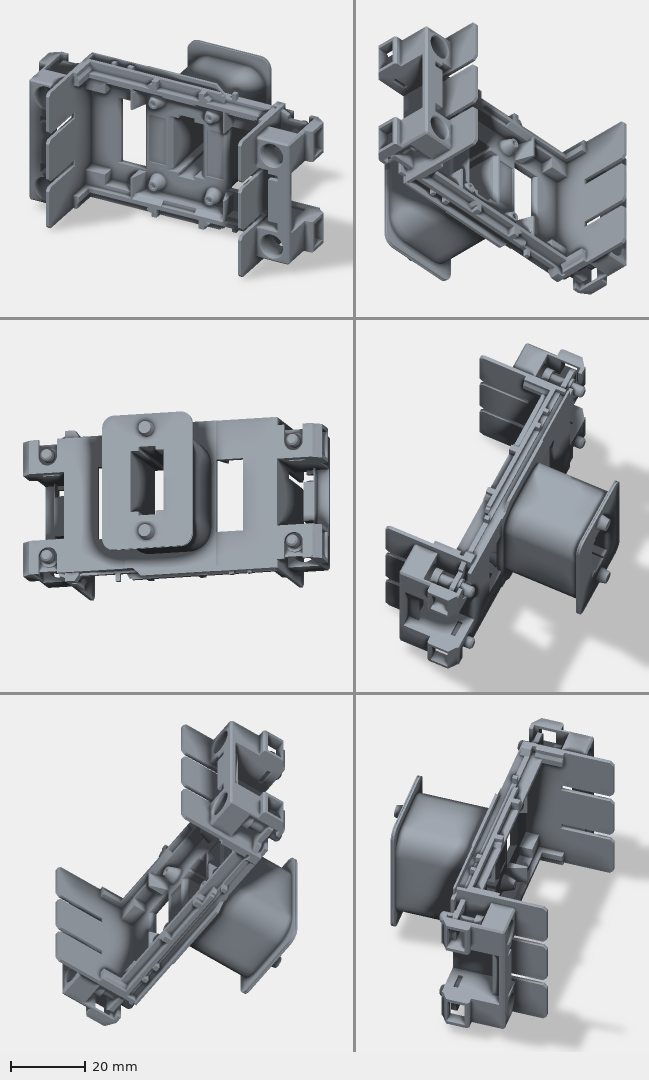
import cadquery as cq


PLATE_X = 29.9
PLATE_THICK = 1.0
FRAME_Z = 20.8
FRAME_LOW_Z = 19.2
BODY_Z = 18.6
SHELF_X = 11.85
SHELF_STEP_X = 12.8
SHELF_STEP_Z = 20.3
SHELF_RAMP = (0.25, 0.5)
RISE_X = (26.1, 27.3)
FRAME_FRONT = -7.0
BAND_FRONT = -4.9
LEDGE_FRONT = -5.55
FLOOR = -1.85
INNER_X = PLATE_X - PLATE_THICK
INNER_Z = 17.0
RAIL_Z = 18.2
LEDGE_Z = 15.7
CORNER_BLOCK = (22.9, 12.4)
SHEET_FRONT = -0.6
BODY_BACK = -1.0
SHEET_CORNER_X = 8.2
SHEET_END_X = 10.6
RIB = (6.5, 8.1)
PAWL_X = (8.65, 9.6)
PAWL_Z = (18.8, 19.65)
GUSSET_THICK = 1.8
GUSSET_FRONT = -12.7
GUSSET_STEP = 0.7
GUSSET_SLOPE_Z = (18.7, 19.65)

POCKET_FRONT_X = 13.9
POCKET_BACK_X = 12.1
SIDE_RIB_THICK = 0.5
SIDE_RIB_Z = 10.4
SILL_X = 5.0
WINDOW_X = (12.85, 20.4)
WINDOW_Z = 10.0
WINDOW_BEVEL = 0.75
CORE_X = 4.6
CORE_Z = 8.4
CORE_BEVEL = 1.1
CORE_NOTCH = (2.4, 9.5)
PAD_X = (6.2, 11.3)
PAD_Z = 7.2
PAD_DEPTH = 0.3
BOSS_X = 8.6
BOSS_Z = 12.6
BOSS_R = (2.5, 1.35)
BOSS_HEIGHT = 3.4
BOSS_HEX = 1.7
BOSS_HEX_DEPTH = 0.8

COLLAR_X = 12.8
COLLAR_Y = 0.25
TUBE_X = 11.5
TUBE_Z = 15.0
TUBE_R = 6.05
FLANGE_X = 12.6
FLANGE_Z = 18.6
FLANGE_R = 3.2
FLANGE_Y = (22.3, 23.3)
FLANGE_GROOVE_Y = (22.6, 22.9)
FLANGE_GROOVE_DEPTH = 0.3
SPIGOT_Z = 14.3
SPIGOT_R = (2.2, 1.7)
SPIGOT_TOP = 25.8

TAB_FRONT = -26.6
TAB_SLOT_Y = -11.85
TAB_SLOT_Z = (6.4, 8.2)
TAB_CHAMFER = 1.0

HOUSING_X = 39.8
HOUSING_Z = 18.6
HOUSING_FRONT = -17.8
HOUSING_CHAMFER = 0.5
OPENING_Z = 9.2
WALL = 1.0
POCKET_WALL_X = HOUSING_X - WALL
POCKET_FRONT_Y = -10.9
BAR_BACK = -16.3
BAR_X = 33.5
BAR_NOTCH_X = 36.3
UPPER_NOTCH = (6.4, 8.15)
WEB_BACK = -13.35
WEB_CENTRE_Z = 5.4
WEB_THICK = 0.3
HOOK_X = 42.0
HOOK_FRONT = -8.4
HOOK_SLOPE = (2.8, 2.0)
HOOK_NOSE = 0.5
HOOK_WINDOW_Y = (-7.2, -2.2)

STRIP_Y = (-3.7, -2.35)
STRIP_X = 38.6
STRIP_CHAMFER = 1.3
OVERALL_Z = 42.6
LUG_TOP = OVERALL_Z / 2
WEDGE_END_X = 32.1
WEDGE_Z = (19.8, 18.8)
LUGS = [(-22.0, -20.9), (-17.1, -15.7), (14.95, 16.1)]
SCREW_X = 34.5
SCREW_Z = 13.95
SHANK_R = 1.6
SHANK_END = 2.0
SHANK_CHAMFER = 0.5
HEAD_R = 2.6
HEAD_Y = (-9.9, -7.9)
WASHER_R = 2.5
WASHER_TOP = -1.7
BORE_R = 3.4
BORE_CHAMFER = 0.29
DRIVE_LENGTH = 3.4
DRIVE_WIDTH = 0.9
DRIVE_DEPTH = 1.0
STRIP_SLOT_LENGTH = 4.7

SIGNS = (-1, 1)


def box(x, y, z):
    """Box spanning the given pairs of limits, in either order."""
    limits = [sorted(pair) for pair in (x, y, z)]
    sizes = [high - low for low, high in limits]
    corner = [low for low, high in limits]
    return cq.Workplane("XY").box(*sizes, centered=False).translate(corner)


def sketch_at(y):
    """XZ workplane at height y whose extrusions run toward -Y."""
    return cq.Workplane("XZ", origin=(0, y, 0))


def disc(x, z, radius, y_front, y_back):
    return sketch_at(y_back).center(x, z).circle(radius).extrude(y_back - y_front)


def cone(x, z, r_back, r_front, y_back, y_front):
    back = sketch_at(y_back).center(x, z).circle(r_back)
    return back.workplane(offset=y_back - y_front).circle(r_front).loft()


def frustum(x, z, y_back, back, y_front, front):
    """Rectangular frustum; back and front hold half sizes in X and Z."""
    base = sketch_at(y_back).center(x, z).rect(2 * back[0], 2 * back[1])
    top = base.workplane(offset=y_back - y_front).rect(2 * front[0], 2 * front[1])
    return top.loft()


def both_x(shape):
    return shape.union(shape.mirror("YZ"))


def both_z(shape):
    return shape.union(shape.mirror("XY"))


def four_way(shape):
    return both_z(both_x(shape))


def sheet_outline():
    """Outline of the back sheet, sloping down to the core right of the middle."""
    edge = [
        (-PLATE_X, FRAME_Z), (SHEET_CORNER_X, FRAME_Z), (SHEET_END_X, BODY_Z), (PLATE_X, BODY_Z),
    ]
    lower = [(x, -z) for x, z in reversed(edge)]
    return edge + lower


def rise_outline():
    """Ramp from the strip's edge up to the full frame height."""
    return [
        (RISE_X[0], FRAME_LOW_Z), (RISE_X[1], FRAME_Z), (PLATE_X, FRAME_Z),
        (PLATE_X, INNER_Z), (RISE_X[0], INNER_Z),
    ]


def frame_plate():
    """Back sheet, core, shelf and rails of the frame with its sunk interior."""
    sheet = sketch_at(0).polyline(sheet_outline()).close().extrude(-SHEET_FRONT)
    body = box((-PLATE_X, PLATE_X), (STRIP_Y[0], SHEET_FRONT), (-BODY_Z, BODY_Z))
    rails = box((-PLATE_X, PLATE_X), (FRAME_FRONT, STRIP_Y[0]), (-RAIL_Z, RAIL_Z))

    shelf_end = SHELF_STEP_X + SHELF_RAMP[1]
    shelf_edge = [
        (-PLATE_X, FRAME_Z), (SHELF_X, FRAME_Z), (SHELF_X + SHELF_RAMP[0], SHELF_STEP_Z),
        (SHELF_STEP_X, SHELF_STEP_Z), (shelf_end, FRAME_LOW_Z), (shelf_end, RAIL_Z), (-PLATE_X, RAIL_Z),
    ]
    shelf = sketch_at(STRIP_Y[0]).polyline(shelf_edge).close().extrude(STRIP_Y[0] - BAND_FRONT)
    rib = box(RIB, (FRAME_FRONT, STRIP_Y[0]), (RAIL_Z, FRAME_Z))
    pawl = sketch_at(BAND_FRONT).polyline([
        (RIB[1], PAWL_Z[1]), (PAWL_X[0], PAWL_Z[1]), (PAWL_X[1], PAWL_Z[0]),
        (PAWL_X[0], RAIL_Z), (RIB[1], RAIL_Z)]).close().extrude(BAND_FRONT - FRAME_FRONT)
    frame = sheet.union(body).union(rails).union(both_z(shelf.union(both_x(rib.union(pawl)))))

    rise = sketch_at(BODY_BACK).polyline(rise_outline()).close().extrude(BODY_BACK - STRIP_Y[0])
    frame = frame.union(both_z(rise))

    interior = box((-INNER_X, INNER_X), (FRAME_FRONT, LEDGE_FRONT), (-INNER_Z, INNER_Z))
    frame = frame.cut(interior)
    floor = box((-INNER_X, INNER_X), (LEDGE_FRONT, FLOOR), (-LEDGE_Z, LEDGE_Z))
    block = box((CORNER_BLOCK[0], INNER_X), (LEDGE_FRONT, FLOOR), (CORNER_BLOCK[1], LEDGE_Z))
    return frame.cut(floor.cut(four_way(block)))


def central_pocket(frame):
    """Corner walls with sloped inner faces, banks, bosses and shallow pads."""
    wall_x = (POCKET_BACK_X, POCKET_FRONT_X + SIDE_RIB_THICK)
    walls = box(wall_x, (FRAME_FRONT, FLOOR), (SIDE_RIB_Z, LEDGE_Z))
    frame = frame.union(four_way(walls))
    slopes = frustum(
        0, 0, FLOOR, (POCKET_BACK_X, LEDGE_Z), FRAME_FRONT, (POCKET_FRONT_X, LEDGE_Z))
    frame = frame.cut(slopes)
    rib_x = (POCKET_FRONT_X, wall_x[1])
    frame = frame.union(four_way(box(rib_x, (FRAME_FRONT, LEDGE_FRONT), (LEDGE_Z, INNER_Z))))

    bank = cq.Workplane("YZ", origin=(SILL_X, 0, 0)).polyline(
        [(LEDGE_FRONT, LEDGE_Z), (FRAME_FRONT, INNER_Z), (LEDGE_FRONT, INNER_Z)]).close()
    frame = frame.union(four_way(bank.extrude(POCKET_FRONT_X - SILL_X)))

    boss_tip = FLOOR - BOSS_HEIGHT
    boss = cone(BOSS_X, BOSS_Z, *BOSS_R, FLOOR, boss_tip)
    socket = sketch_at(boss_tip + BOSS_HEX_DEPTH).center(BOSS_X, BOSS_Z).polygon(6, BOSS_HEX)
    frame = frame.union(four_way(boss.cut(socket.extrude(BOSS_HEX_DEPTH))))
    pad = box(PAD_X, (FLOOR, FLOOR + PAD_DEPTH), (-PAD_Z, PAD_Z))
    return frame.cut(both_x(pad))


def spool():
    """Collar, rounded tube and grooved end flange with its two spigots."""
    collar = box((-COLLAR_X, COLLAR_X), (0, COLLAR_Y), (-FRAME_Z, FRAME_Z))
    sheet = sketch_at(COLLAR_Y).polyline(sheet_outline()).close().extrude(COLLAR_Y)
    collar = collar.intersect(sheet)
    tube = box((-TUBE_X, TUBE_X), (0, FLANGE_Y[0]), (-TUBE_Z, TUBE_Z))
    tube = tube.edges("|Y").fillet(TUBE_R)
    flange = box((-FLANGE_X, FLANGE_X), FLANGE_Y, (-FLANGE_Z, FLANGE_Z))
    flange = flange.edges("|Y").fillet(FLANGE_R)
    groove_face = sketch_at(FLANGE_GROOVE_Y[1]).rect(2 * FLANGE_X, 2 * FLANGE_Z)
    groove = groove_face.extrude(FLANGE_GROOVE_Y[1] - FLANGE_GROOVE_Y[0])
    neck_x = FLANGE_X - FLANGE_GROOVE_DEPTH
    neck_z = FLANGE_Z - FLANGE_GROOVE_DEPTH
    neck = box((-neck_x, neck_x), FLANGE_GROOVE_Y, (-neck_z, neck_z))
    neck = neck.edges("|Y").fillet(FLANGE_R - FLANGE_GROOVE_DEPTH)
    flange = flange.cut(groove.cut(neck))
    spigot = cone(0, SPIGOT_Z, SPIGOT_R[1], SPIGOT_R[0], SPIGOT_TOP, FLANGE_Y[1])
    return collar.union(tube).union(flange).union(both_z(spigot))


def openings():
    """Core opening through the spool and one window on each side of it."""
    through = (FRAME_FRONT, SPIGOT_TOP)
    core = box((-CORE_X, CORE_X), through, (-CORE_Z, CORE_Z))
    notch = box((-CORE_NOTCH[0], CORE_NOTCH[0]), through, (-CORE_NOTCH[1], CORE_NOTCH[1]))
    lead_in = frustum(
        0, 0, FLOOR + CORE_BEVEL, (CORE_X, CORE_Z),
        FLOOR, (CORE_X + CORE_BEVEL, CORE_Z))
    window = box(WINDOW_X, through, (-WINDOW_Z, WINDOW_Z))
    middle = sum(WINDOW_X) / 2
    half = middle - WINDOW_X[0]
    bevel = frustum(
        middle, 0, FLOOR + WINDOW_BEVEL, (half, WINDOW_Z),
        FLOOR, (half + WINDOW_BEVEL, WINDOW_Z))
    return core.union(notch).union(lead_in).union(both_x(window.union(bevel)))


def terminal_plates():
    """Slotted plate on each side, each of its tabs with chamfered corners."""
    x = (INNER_X, PLATE_X)
    tabs = [(-TAB_SLOT_Z[0], TAB_SLOT_Z[0]), (TAB_SLOT_Z[1], FRAME_Z), (-FRAME_Z, -TAB_SLOT_Z[1])]
    plate = box(x, (TAB_SLOT_Y, BODY_BACK), (-FRAME_Z, FRAME_Z))
    for z in tabs:
        tab = box(x, (TAB_FRONT, TAB_SLOT_Y), z)
        plate = plate.union(tab.edges("|X and <Y").chamfer(TAB_CHAMFER))
    inner = INNER_X - GUSSET_THICK
    profile = [
        (INNER_X, FRAME_Z), (inner + GUSSET_STEP, FRAME_Z), (inner + GUSSET_STEP, GUSSET_SLOPE_Z[1]),
        (inner, GUSSET_SLOPE_Z[0]), (inner, INNER_Z), (INNER_X, INNER_Z),
    ]
    gusset = sketch_at(BAND_FRONT).polyline(profile).close().extrude(BAND_FRONT - GUSSET_FRONT)
    return both_x(plate.union(both_z(gusset)))


def hook():
    """Latch at the outer back corner of a housing, and the window cut into it."""
    z = (OPENING_Z, HOUSING_Z)
    profile = [
        (POCKET_WALL_X, 0), (HOOK_X - HOOK_SLOPE[0], 0), (HOOK_X, -HOOK_SLOPE[1]),
        (HOOK_X, HOOK_FRONT + HOOK_NOSE), (HOOK_X - HOOK_NOSE, HOOK_FRONT), (POCKET_WALL_X, HOOK_FRONT),
    ]
    body = cq.Workplane("XY", origin=(0, 0, z[0])).polyline(profile).close().extrude(z[1] - z[0])
    window_z = (OPENING_Z + WALL, HOUSING_Z - WALL)
    return body, box((POCKET_WALL_X - WALL, HOOK_X), HOOK_WINDOW_Y, window_z)


def housings():
    """Screw housings: two pocketed blocks joined by a notched front bar at each end."""
    full = box((PLATE_X, HOUSING_X), (HOUSING_FRONT, 0), (-HOUSING_Z, HOUSING_Z))
    full = full.edges("(<Y and (not <X)) or (|Y and >X)").chamfer(HOUSING_CHAMFER)
    full = full.cut(box((PLATE_X, HOUSING_X), (BAR_BACK, 0), (-OPENING_Z, OPENING_Z)))
    full = full.cut(box((PLATE_X, BAR_X), (HOUSING_FRONT, BAR_BACK), (-OPENING_Z, OPENING_Z)))
    for notch in (UPPER_NOTCH, (-OPENING_Z, -UPPER_NOTCH[0])):
        full = full.cut(box((BAR_X, BAR_NOTCH_X), (HOUSING_FRONT, BAR_BACK), notch))
    web = box((BAR_NOTCH_X, BAR_NOTCH_X + WEB_THICK), (BAR_BACK, WEB_BACK), (-OPENING_Z, OPENING_Z))
    web_centre = box(
        (BAR_X, BAR_NOTCH_X), (BAR_BACK, WEB_BACK), (-WEB_CENTRE_Z, WEB_CENTRE_Z))
    full = full.union(web).union(web_centre)

    latch, latch_window = hook()
    pocket = box(
        (PLATE_X, POCKET_WALL_X), (POCKET_FRONT_Y, BODY_BACK), (OPENING_Z + WALL, HOUSING_Z))
    arch = disc(SCREW_X, SCREW_Z, HEAD_R, BODY_BACK, 0)
    arch_mouth = box((SCREW_X - HEAD_R, SCREW_X + HEAD_R), (BODY_BACK, 0), (SCREW_Z, HOUSING_Z))
    bore = disc(SCREW_X, SCREW_Z, BORE_R, HOUSING_FRONT, POCKET_FRONT_Y)
    mouth_r = BORE_R + BORE_CHAMFER
    mouth = cone(SCREW_X, SCREW_Z, BORE_R, mouth_r, HOUSING_FRONT + BORE_CHAMFER, HOUSING_FRONT)
    half_slot = STRIP_SLOT_LENGTH / 2
    strip_slot = box(
        (SCREW_X - half_slot, SCREW_X + half_slot), STRIP_Y, (OPENING_Z, OPENING_Z + WALL))
    full = full.union(both_z(latch))
    for cutter in (pocket, arch, arch_mouth, bore, mouth, strip_slot, latch_window):
        full = full.cut(both_z(cutter))
    return both_x(full)


def metal_strip():
    """Strip through the frame: screw lugs at its ends and small lugs along its edges."""
    end = box((INNER_X, STRIP_X), STRIP_Y, (OPENING_Z + WALL, HOUSING_Z - WALL))
    strip = four_way(end.edges("|Y and >X and >Z").chamfer(STRIP_CHAMFER))
    side = box((-PLATE_X, PLATE_X), STRIP_Y, (INNER_Z, FRAME_LOW_Z))
    strip = strip.union(both_z(side))
    for x in LUGS:
        lug = box(x, STRIP_Y, (INNER_Z, LUG_TOP))
        strip = strip.union(both_z(lug))
    wedge_base = HOUSING_Z - WALL
    wedge = sketch_at(STRIP_Y[1]).polyline(
        [(PLATE_X, WEDGE_Z[0]), (WEDGE_END_X, WEDGE_Z[1]), (WEDGE_END_X, wedge_base), (PLATE_X, wedge_base)])
    wedge = wedge.close()
    return strip.union(both_z(wedge.extrude(STRIP_Y[1] - STRIP_Y[0])))


def screw(x, z):
    """Cross-head screw and washer passing through the strip."""
    body = disc(x, z, SHANK_R, HEAD_Y[1], SHANK_END).faces(">Y").chamfer(SHANK_CHAMFER)
    body = body.union(disc(x, z, HEAD_R, *HEAD_Y))
    body = body.union(disc(x, z, WASHER_R, STRIP_Y[1], WASHER_TOP))
    drive = sketch_at(HEAD_Y[0] + DRIVE_DEPTH).center(x, z)
    for size in ((DRIVE_LENGTH, DRIVE_WIDTH), (DRIVE_WIDTH, DRIVE_LENGTH)):
        body = body.cut(drive.rect(*size).extrude(DRIVE_DEPTH))
    return body


result = central_pocket(frame_plate().union(spool()))
result = result.cut(openings())
result = result.union(terminal_plates()).union(housings()).union(metal_strip())
for side_x in SIGNS:
    for side_z in SIGNS:
        result = result.union(screw(side_x * SCREW_X, side_z * SCREW_Z))